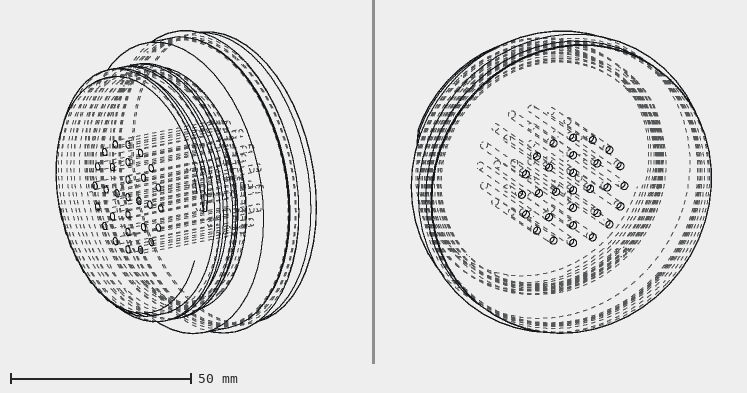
import cadquery as cq
import math


OVERALL_DIAMETER = 85.0
OVERALL_DEPTH = 35.0
RING_SECTION = 2.5
EDGE_FILLET = 1.0

COVER_THICKNESS = 2.5

BODY_RADIUS = 41.0
SHOULDER_DEPTH = 18.95
NECK_RADIUS = 33.7
GROOVE_LIP = 0.5

BODY_RING_RADIUS = (OVERALL_DIAMETER - RING_SECTION) / 2
BODY_RING_DEPTH = 8.4
NECK_RING_RADIUS = 33.2
NECK_RING_DEPTH = SHOULDER_DEPTH + GROOVE_LIP + RING_SECTION / 2

THREAD_RADIUS = 35.7
THREAD_PITCH = 4.3
THREAD_ROOT_WIDTH = 2.0
THREAD_CREST_WIDTH = 1.1
THREAD_SINK = 0.4
THREAD_START_DEPTH = 22.95
THREAD_START = -13.0
THREAD_RISE_END = 28.0
THREAD_FALL_START = 880.0
THREAD_END = 895.0
TIP_SCALE = 0.6
TIP_HEIGHT = 0.04
POINT_STEP = 10.0

HOLE_DIAMETER = 2.0
HOLE_CIRCLE_SPACING = 5.0
HOLES_PER_CIRCLE = (4, 8, 16)


def perforated(body):
    """Cut the hole pattern right through a body along Y."""
    holes = cq.Workplane("XZ").pushPoints([(0, 0)])
    holes = holes.circle(HOLE_DIAMETER / 2).extrude(OVERALL_DEPTH)
    for circle_index, count in enumerate(HOLES_PER_CIRCLE, start=1):
        ring_of_holes = (
            cq.Workplane("XZ")
            .polarArray(circle_index * HOLE_CIRCLE_SPACING, 0, 360, count)
            .circle(HOLE_DIAMETER / 2)
            .extrude(OVERALL_DEPTH)
        )
        holes = holes.add(ring_of_holes)
    return body.cut(cq.Workplane(cq.Compound.makeCompound(holes.vals())))


def ring_groove(surface_radius, cord_radius, depth):
    """Cutter for a square groove that holds a ring and flares at its mouth."""
    half_width = RING_SECTION / 2
    mouth_half = half_width + GROOVE_LIP
    lip_start = surface_radius - GROOVE_LIP
    return (
        cq.Workplane("XY")
        .moveTo(cord_radius - half_width, half_width - depth)
        .lineTo(lip_start, half_width - depth)
        .lineTo(surface_radius, mouth_half - depth)
        .lineTo(OVERALL_DIAMETER / 2, mouth_half - depth)
        .lineTo(OVERALL_DIAMETER / 2, -mouth_half - depth)
        .lineTo(surface_radius, -mouth_half - depth)
        .lineTo(lip_start, -half_width - depth)
        .lineTo(cord_radius - half_width, -half_width - depth)
        .close()
        .revolve(360, (0, 0, 0), (0, 1, 0))
    )


def thread_point(angle, radius, offset):
    """Point on a helix; angle 0 is at -X and grows through +Z."""
    depth = THREAD_START_DEPTH + THREAD_PITCH * angle / 360 + offset
    turn = math.radians(angle)
    return cq.Vector(-radius * math.cos(turn), -depth, radius * math.sin(turn))


def tooth_corners(angle, fullness):
    """Four corners of the tooth section; fullness runs from 0 (tip) to 1."""
    scale = TIP_SCALE + (1 - TIP_SCALE) * fullness
    full_height = THREAD_RADIUS - NECK_RADIUS
    crest_radius = NECK_RADIUS + TIP_HEIGHT + (full_height - TIP_HEIGHT) * fullness
    root_radius = NECK_RADIUS - THREAD_SINK
    root_half = THREAD_ROOT_WIDTH * scale / 2
    flank_run = (THREAD_ROOT_WIDTH - THREAD_CREST_WIDTH) / 2 * fullness
    crest_half = root_half - flank_run
    return [
        thread_point(angle, root_radius, -root_half),
        thread_point(angle, crest_radius, -crest_half),
        thread_point(angle, crest_radius, crest_half),
        thread_point(angle, root_radius, root_half),
    ]


def tooth_segment(start, end, start_fullness, end_fullness):
    """Solid stretch of thread whose height changes evenly along its length."""
    steps = math.ceil((end - start) / POINT_STEP)
    sections = []
    for step in range(steps + 1):
        share = step / steps
        angle = start + (end - start) * share
        fullness = start_fullness + (end_fullness - start_fullness) * share
        sections.append(tooth_corners(angle, fullness))
    edges = [cq.Edge.makeSpline(list(track)) for track in zip(*sections)]
    faces = [
        cq.Face.makeRuledSurface(edges[corner], edges[(corner + 1) % len(edges)])
        for corner in range(len(edges))
    ]
    for section in (sections[0], sections[-1]):
        faces.append(cq.Face.makeFromWires(cq.Wire.makePolygon(section, close=True)))
    return cq.Workplane(cq.Solid.makeSolid(cq.Shell.makeShell(faces)))


def add_thread(body):
    """Join the full-height thread and its two run-outs to the neck."""
    body = body.union(tooth_segment(THREAD_RISE_END, THREAD_FALL_START, 1, 1))
    body = body.union(tooth_segment(THREAD_START, THREAD_RISE_END, 0, 1))
    return body.union(tooth_segment(THREAD_FALL_START, THREAD_END, 1, 0))


def make_cover():
    cover = cq.Workplane("XZ").circle(BODY_RADIUS).extrude(COVER_THICKNESS)
    return perforated(cover.edges().fillet(EDGE_FILLET))


def make_housing():
    wide_body = (
        cq.Workplane("XZ", origin=(0, -COVER_THICKNESS, 0))
        .circle(BODY_RADIUS)
        .extrude(SHOULDER_DEPTH - COVER_THICKNESS)
    )
    neck_root = (
        cq.Workplane("XZ", origin=(0, -SHOULDER_DEPTH, 0))
        .circle(NECK_RADIUS - GROOVE_LIP)
        .extrude(NECK_RING_DEPTH - SHOULDER_DEPTH)
    )
    neck = (
        cq.Workplane("XZ", origin=(0, -NECK_RING_DEPTH, 0))
        .circle(NECK_RADIUS)
        .extrude(OVERALL_DEPTH - NECK_RING_DEPTH)
        .faces("<Y")
        .edges()
        .fillet(EDGE_FILLET)
    )
    body_groove = ring_groove(BODY_RADIUS, BODY_RING_RADIUS, BODY_RING_DEPTH)
    neck_groove = ring_groove(NECK_RADIUS, NECK_RING_RADIUS, NECK_RING_DEPTH)
    housing = add_thread(wide_body.union(neck_root).union(neck))
    return perforated(housing.cut(body_groove).cut(neck_groove))


def make_sealing_ring(radius, depth):
    cord = cq.Workplane("XY").center(radius, -depth).circle(RING_SECTION / 2)
    return cord.revolve(360, (-radius, 0, 0), (-radius, 1, 0))


cover = make_cover()
housing = make_housing()
body_ring = make_sealing_ring(BODY_RING_RADIUS, BODY_RING_DEPTH)
neck_ring = make_sealing_ring(NECK_RING_RADIUS, NECK_RING_DEPTH)

result = cq.Compound.makeCompound([cover.val(), housing.val(), body_ring.val(), neck_ring.val()])